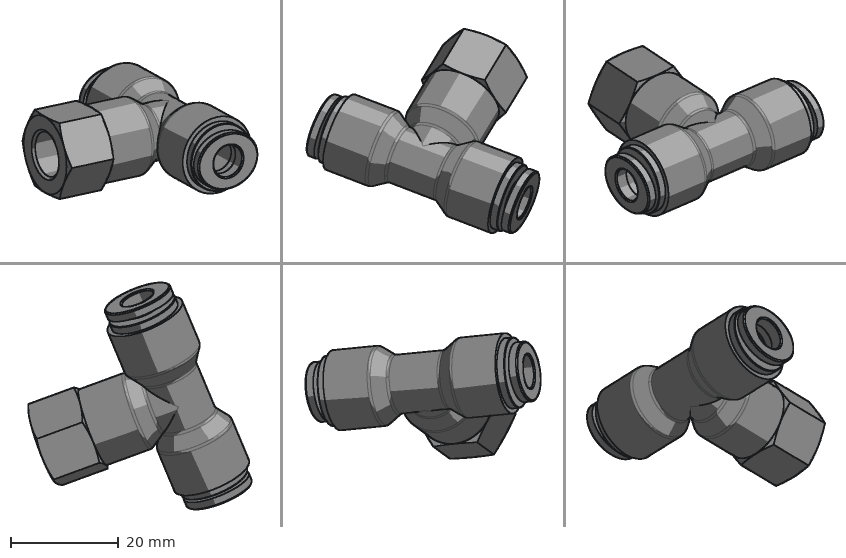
import cadquery as cq
import math

SLEEVE_FACE = 20.95
PORT_LENGTH = 16.95
NUT_FACE = 26.95

BARREL_DIA = 15.0
NECK_DIA = 10.98
CONE_START = 5.03
CONE_END = 8.05
BLEND_RADIUS = 1.0
TUBE_BORE_DIA = 6.2
TUBE_BORE_FLOOR = 8.4

COLLAR_DIA = 13.15
COLLAR_LENGTH = 1.5
COLLAR_CHAMFER = 0.13
FLANGE_WIDTH = 13.07
FLANGE_HEIGHT = 11.05
FLANGE_THICKNESS = 1.68
FLANGE_CHAMFER = 0.25
SLEEVE_NECK_DIA = 7.5
SLEEVE_BORE_CHAMFER = 0.25

HEX_SIDES = 6
HEX_FLATS = 15.0
HEX_FACE_DIA = 14.9
HEX_CHAMFER_ANGLE = 20.0
SOCKET_DIA = 8.55
SOCKET_MOUTH_DIA = 9.55
ORIFICE_DIA = 4.0
ORIFICE_FLOOR = 8.4

COLLAR_FACE = PORT_LENGTH + COLLAR_LENGTH
FULL_TURN = 360
QUARTER_TURN = 90
RUN_SIDES = (1, -1)
ALONG_X = cq.Vector(1, 0, 0)
ALONG_MINUS_Y = cq.Vector(0, -1, 0)


def cylinder(diameter, start, end, direction):
    """Cylinder on an axis through the origin, between two distances from it."""
    return cq.Workplane(
        cq.Solid.makeCylinder(diameter / 2, end - start, direction * start, direction)
    )


def branch():
    """Solid neck, rounded cone and barrel of one branch, along +X."""
    outline = (
        cq.Workplane("XY")
        .moveTo(0, 0)
        .lineTo(0, NECK_DIA / 2)
        .lineTo(CONE_START, NECK_DIA / 2)
        .lineTo(CONE_END, BARREL_DIA / 2)
        .lineTo(PORT_LENGTH, BARREL_DIA / 2)
        .lineTo(PORT_LENGTH, 0)
        .close()
    )
    solid = outline.revolve(FULL_TURN, (0, 0, 0), (1, 0, 0))
    cone_faces = solid.faces("%CONE")
    return cone_faces.edges("%CIRCLE").fillet(BLEND_RADIUS)


def make_tee():
    """Three equal branches with a tube bore in each run end and an orifice behind the nut."""
    tee = branch()
    for quarter_turns in (1, 2):
        turn = -quarter_turns * QUARTER_TURN
        tee = tee.union(branch().rotate((0, 0, 0), (0, 0, 1), turn))
    for side in RUN_SIDES:
        tee = tee.cut(cylinder(TUBE_BORE_DIA, TUBE_BORE_FLOOR, PORT_LENGTH, ALONG_X * side))
    return tee.cut(cylinder(ORIFICE_DIA, ORIFICE_FLOOR, PORT_LENGTH, ALONG_MINUS_Y))


def make_collar(side):
    """Flat ring between the end face of the tee and the sleeve neck."""
    axis = ALONG_X * side
    collar = cylinder(COLLAR_DIA, PORT_LENGTH, COLLAR_FACE, axis)
    collar = collar.faces(">X" if side > 0 else "<X").chamfer(COLLAR_CHAMFER)
    return collar.cut(cylinder(TUBE_BORE_DIA, PORT_LENGTH, COLLAR_FACE, axis))


def make_sleeve(side):
    """Release sleeve: oval flange on a round neck that rests on the collar."""
    flange_back = SLEEVE_FACE - FLANGE_THICKNESS
    flange = (
        cq.Workplane("YZ", origin=(flange_back, 0, 0))
        .ellipse(FLANGE_WIDTH / 2, FLANGE_HEIGHT / 2)
        .extrude(FLANGE_THICKNESS)
        .faces(">X")
        .chamfer(FLANGE_CHAMFER)
    )
    sleeve = flange.union(cylinder(SLEEVE_NECK_DIA, COLLAR_FACE, flange_back, ALONG_X))
    sleeve = sleeve.cut(cylinder(TUBE_BORE_DIA, COLLAR_FACE, SLEEVE_FACE, ALONG_X))
    sleeve = sleeve.faces(">X").edges("%CIRCLE").chamfer(SLEEVE_BORE_CHAMFER)
    return sleeve if side > 0 else sleeve.mirror("YZ")


def make_nut():
    """Hexagon nut on the -Y branch, with flats facing up and down and chamfered corners."""
    length = NUT_FACE - PORT_LENGTH
    corner_radius = HEX_FLATS / math.sqrt(3)
    face_radius = HEX_FACE_DIA / 2
    chamfer_depth = (corner_radius - face_radius) * math.tan(math.radians(HEX_CHAMFER_ANGLE))
    prism = (
        cq.Workplane("XZ", origin=(0, -PORT_LENGTH, 0))
        .polygon(HEX_SIDES, 2 * corner_radius)
        .extrude(length)
    )
    chamfered_envelope = (
        cq.Workplane("XY")
        .moveTo(0, -PORT_LENGTH)
        .lineTo(face_radius, -PORT_LENGTH)
        .lineTo(corner_radius, -PORT_LENGTH - chamfer_depth)
        .lineTo(corner_radius, -NUT_FACE + chamfer_depth)
        .lineTo(face_radius, -NUT_FACE)
        .lineTo(0, -NUT_FACE)
        .close()
        .revolve(FULL_TURN, (0, 0, 0), (0, 1, 0))
    )
    nut = prism.intersect(chamfered_envelope)
    nut = nut.cut(cylinder(SOCKET_DIA, PORT_LENGTH, NUT_FACE, ALONG_MINUS_Y))
    mouth_chamfer = (SOCKET_MOUTH_DIA - SOCKET_DIA) / 2
    mouth = nut.faces("<Y").edges(cq.selectors.RadiusNthSelector(0))
    return mouth.chamfer(mouth_chamfer)


tee = make_tee()
nut = make_nut()
collars = [make_collar(side) for side in RUN_SIDES]
sleeves = [make_sleeve(side) for side in RUN_SIDES]

result = cq.Compound.makeCompound(
    [tee.val(), nut.val()]
    + [collar.val() for collar in collars]
    + [sleeve.val() for sleeve in sleeves]
)